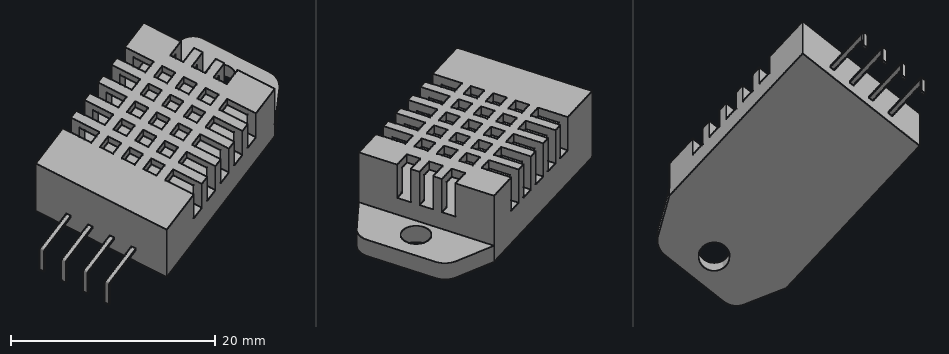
import cadquery as cq

body_width = 15.1
body_length = 20.0
body_height = 8.0
wall = 1.0
cavity_height = 3.0
cavity_floor = body_height - wall - cavity_height

vent_size = 1.5
vent_pitch = 2.5
vent_rows = 5
vent_columns = 3
front_margin = 5.0
rear_slot_length = 2.0
grille_half_width = (vent_columns - 1) / 2 * vent_pitch + vent_size / 2 + wall

tab_length = 5.12
tab_end_width = 10.05
tab_thickness = 2.0
tab_corner_radius = 2.0
tab_hole_diameter = 3.0
tab_hole_from_end = 3.05

pin_count = 4
pin_pitch = 2.5
pin_width = 0.5
pin_thickness = 0.25
pin_reach = 5.0
pin_underside = 2.0
pin_drop = 1.25
pin_bend_radius = pin_thickness

half_width = body_width / 2
front_y = -body_length / 2
rear_y = body_length / 2

row_positions = [front_y + front_margin + vent_size / 2 + i * vent_pitch for i in range(vent_rows)]
column_positions = [(i - (vent_columns - 1) / 2) * vent_pitch for i in range(vent_columns)]
pin_positions = [(i - (pin_count - 1) / 2) * pin_pitch for i in range(pin_count)]


def box(x_min, x_max, y_min, y_max, z_min, z_max):
    """Solid box given by its limits along each axis."""
    size = (x_max - x_min, y_max - y_min, z_max - z_min)
    return cq.Workplane("XY").box(*size, centered=False).translate((x_min, y_min, z_min))


def vent(x_min, x_max, y_min, y_max):
    """Cutter reaching from the top of the housing down to the cavity floor."""
    return box(x_min, x_max, y_min, y_max, cavity_floor, body_height)


def make_housing():
    """Box with a cavity under its top plate, opened by windows and slots."""
    housing = box(-half_width, half_width, front_y, rear_y, 0, body_height)
    housing = housing.cut(
        box(
            -half_width + wall, half_width - wall,
            front_y + wall, rear_y - wall,
            cavity_floor, body_height - wall,
        )
    )
    for y in row_positions:
        y_min = y - vent_size / 2
        y_max = y + vent_size / 2
        housing = housing.cut(vent(-half_width, -grille_half_width, y_min, y_max))
        housing = housing.cut(vent(grille_half_width, half_width, y_min, y_max))
        for x in column_positions:
            housing = housing.cut(vent(x - vent_size / 2, x + vent_size / 2, y_min, y_max))
    rear_slot_y = rear_y - rear_slot_length
    for x in column_positions:
        housing = housing.cut(vent(x - vent_size / 2, x + vent_size / 2, rear_slot_y, rear_y))
    return housing


def make_tab():
    """Tapered mounting tab with rounded outer corners and a screw hole."""
    tab_end_y = rear_y + tab_length
    tab = (
        cq.Workplane("XY")
        .polyline([
            (-half_width, rear_y),
            (half_width, rear_y),
            (tab_end_width / 2, tab_end_y),
            (-tab_end_width / 2, tab_end_y),
        ])
        .close()
        .extrude(tab_thickness)
        .edges("|Z and >Y")
        .fillet(tab_corner_radius)
    )
    hole = (
        cq.Workplane("XY")
        .center(0, tab_end_y - tab_hole_from_end)
        .circle(tab_hole_diameter / 2)
        .extrude(tab_thickness)
    )
    return tab.cut(hole)


def make_pin(x):
    """Flat pin that leaves the front face and bends straight down."""
    x_min = x - pin_width / 2
    x_max = x + pin_width / 2
    tip_y = front_y - pin_reach
    pin_top = pin_underside + pin_thickness
    pin = box(x_min, x_max, tip_y, front_y, pin_underside, pin_top)
    pin = pin.union(box(x_min, x_max, tip_y, tip_y + pin_thickness, -pin_drop, pin_top))
    return pin.edges("|X and <Y and >Z").fillet(pin_bend_radius)


result = make_housing().union(make_tab())
for pin_x in pin_positions:
    result = result.union(make_pin(pin_x))